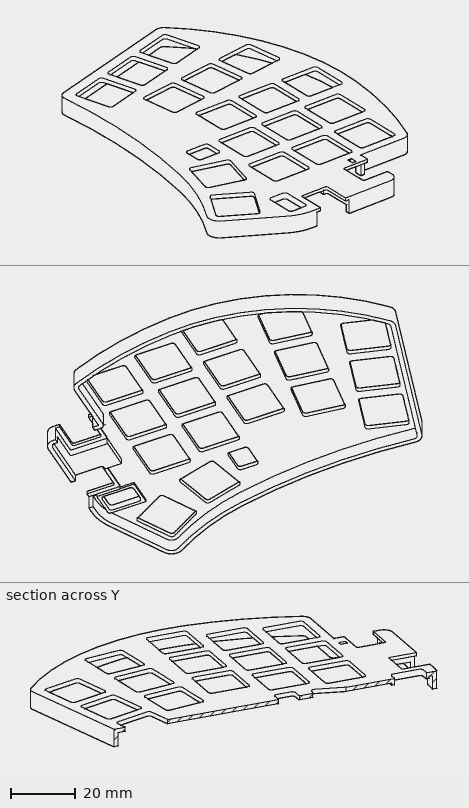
import cadquery as cq
import math

HEIGHT = 5.98
WALL = 1.5
CORNER_R = 3.0
THUMB_CORNER_R = 4.0
SIDE_BEND_R = 16.0

RIGHT_X = 120.74
SHOULDER_X = 102.14
TAB_TOP_Y = 61.95
THUMB_ANGLE = 30
SIDE_BEND_Y = 28.0
LEFT_TOP = (-0.35, 64.25)
LEFT_BOTTOM = (14.42, 12.8)
THUMB_TIP = (106.18, -1.62)
SHOULDER_TOP = (SHOULDER_X, 81.1)
TOP_ARC_MIDDLE = (26.0, 83.55)
TOP_ARC_JOIN = (64.4, 90.25)
BOTTOM_ARC_MIDDLE = (45.0, 14.12)
BOTTOM_ARC_JOIN = (77.1, 10.47)

KEY_SIZE = 13.8
KEY_PITCH = 17.0
KEYS_PER_COLUMN = 3
WINDOW_R = 1.0
COLUMNS = [
    ((17.2, 41.75), 16),
    ((35.23, 56.55), 8),
    ((56.17, 62.55), 0),
    ((74.12, 57.2), 0),
    ((92.12, 54.65), 0),
]
THUMB_KEYS = [((84.0, 20.05), -15), ((102.54, 12.05), -30)]

SMALL_WINDOW = (6.93, 8.5)
SMALL_WINDOW_CENTER = (70.22, 25.15)
SLOT_WINDOW = (10.8, 6.6)
SLOT_WINDOW_CENTER = (111.59, 25.7)
SLOT_PAD = 2.2
SLOT_PAD_MARGIN = 1.0

NOTCH_WIDTH = 9.9
NOTCH_DEPTH = 9.5
NOTCH_R = 0.5
TOP_NOTCH_X = 105.6
SIDE_NOTCH_Y = 31.3
NOTCH_LIP = 1.1
NOTCH_RELIEF = 1.4
TAB_THICKNESS = 3.5

RAMP_SIZE = (2.2, 1.45)
RAMP_DEPTH = 1.2
RAMP_CENTER = (103.3, 57.6)


def outline_solid():
    """Full-height block with the outer outline, without the notches."""
    lean = math.radians(THUMB_ANGLE)
    bend_center_x = RIGHT_X - SIDE_BEND_R

    def bend_point(angle):
        """Point on the side bend after turning by angle from the straight right side."""
        return (bend_center_x + SIDE_BEND_R * math.cos(angle),
                SIDE_BEND_Y - SIDE_BEND_R * math.sin(angle))

    block = (
        cq.Workplane("XY")
        .moveTo(*LEFT_BOTTOM)
        .lineTo(*LEFT_TOP)
        .threePointArc(TOP_ARC_MIDDLE, TOP_ARC_JOIN)
        .tangentArcPoint(SHOULDER_TOP, relative=False)
        .lineTo(SHOULDER_X, TAB_TOP_Y)
        .lineTo(RIGHT_X, TAB_TOP_Y)
        .lineTo(RIGHT_X, SIDE_BEND_Y)
        .threePointArc(bend_point(lean / 2), bend_point(lean))
        .lineTo(*THUMB_TIP)
        .moveTo(*LEFT_BOTTOM)
        .threePointArc(BOTTOM_ARC_MIDDLE, BOTTOM_ARC_JOIN)
        .tangentArcPoint(THUMB_TIP, relative=False)
        .consolidateWires()
        .extrude(HEIGHT)
    )
    corners = [LEFT_TOP, SHOULDER_TOP, (RIGHT_X, TAB_TOP_Y), LEFT_BOTTOM]
    for x, y in corners:
        block = block.edges(cq.NearestToPointSelector((x, y, HEIGHT / 2))).fillet(CORNER_R)
    tip = cq.NearestToPointSelector((*THUMB_TIP, HEIGHT / 2))
    return block.edges(tip).fillet(THUMB_CORNER_R)


def box_between(x0, x1, y0, y1, z0, z1):
    """Box given by its limits along each axis."""
    return cq.Workplane("XY").box(x1 - x0, y1 - y0, z1 - z0, centered=False).translate((x0, y0, z0))


def window(size, center, turn=0):
    """Round-cornered prism through the full height."""
    prism = cq.Workplane("XY").rect(*size).extrude(HEIGHT).edges("|Z").fillet(WINDOW_R)
    return prism.rotate((0, 0, 0), (0, 0, 1), turn).translate((*center, 0))


def key_windows():
    """Windows of the five finger columns and the thumb keys."""
    key = (KEY_SIZE, KEY_SIZE)
    windows = [window(key, center, turn) for center, turn in THUMB_KEYS]
    for (x, y), turn in COLUMNS:
        a = math.radians(turn)
        for row in range(KEYS_PER_COLUMN):
            step = (row - (KEYS_PER_COLUMN - 1) / 2) * KEY_PITCH
            windows.append(window(key, (x - step * math.sin(a), y + step * math.cos(a)), turn))
    return windows


def notches(relief, z_top):
    """Both connector notches, widened by relief and running from the bottom up to z_top."""
    top = box_between(TOP_NOTCH_X - relief, TOP_NOTCH_X + NOTCH_WIDTH + relief,
                      TAB_TOP_Y - NOTCH_DEPTH - relief, TAB_TOP_Y + NOTCH_DEPTH, 0, z_top)
    side = box_between(RIGHT_X - NOTCH_DEPTH - relief, RIGHT_X + NOTCH_DEPTH,
                       SIDE_NOTCH_Y - relief, SIDE_NOTCH_Y + NOTCH_WIDTH + relief, 0, z_top)
    return [top.edges("|Z").fillet(NOTCH_R), side.edges("|Z").fillet(NOTCH_R)]


def ramp_pocket():
    """Shallow pocket whose floor slopes down toward -Y."""
    length, width = RAMP_SIZE
    x, y = RAMP_CENTER
    return (
        cq.Workplane("YZ")
        .polyline([(y + width / 2, HEIGHT), (y - width / 2, HEIGHT), (y - width / 2, HEIGHT - RAMP_DEPTH)])
        .close()
        .extrude(length)
        .translate((x - length / 2, 0, 0))
    )


def rim_cavity(outer):
    """Hollow under the plate that leaves a rim of constant width."""
    inner_outline = outer.faces("<Z").wires().toPending().offset2D(-WALL)
    return inner_outline.extrude(HEIGHT - WALL, combine=False)


def thick_tab():
    """Thicker stretch of the plate around and between the connector notches."""
    return box_between(TOP_NOTCH_X - NOTCH_RELIEF, RIGHT_X, SIDE_NOTCH_Y + NOTCH_WIDTH, TAB_TOP_Y,
                       HEIGHT - TAB_THICKNESS, HEIGHT)


def slot_pad():
    """Thicker stretch of the plate around the slot window."""
    x, y = SLOT_WINDOW_CENTER
    half_x = SLOT_WINDOW[0] / 2 + SLOT_PAD_MARGIN
    half_y = SLOT_WINDOW[1] / 2 + SLOT_PAD_MARGIN
    return box_between(x - half_x, x + half_x, y - half_y, y + half_y, HEIGHT - SLOT_PAD, HEIGHT)


def build():
    outer = outline_solid()
    thick_regions = thick_tab().union(slot_pad()).intersect(outer)
    body = outer.cut(rim_cavity(outer)).union(thick_regions)
    cutters = key_windows()
    cutters.append(window(SMALL_WINDOW, SMALL_WINDOW_CENTER))
    cutters.append(window(SLOT_WINDOW, SLOT_WINDOW_CENTER))
    cutters += notches(0, HEIGHT)
    cutters += notches(NOTCH_RELIEF, HEIGHT - NOTCH_LIP)
    cutters.append(ramp_pocket())
    for cutter in cutters:
        body = body.cut(cutter)
    return body


result = build()